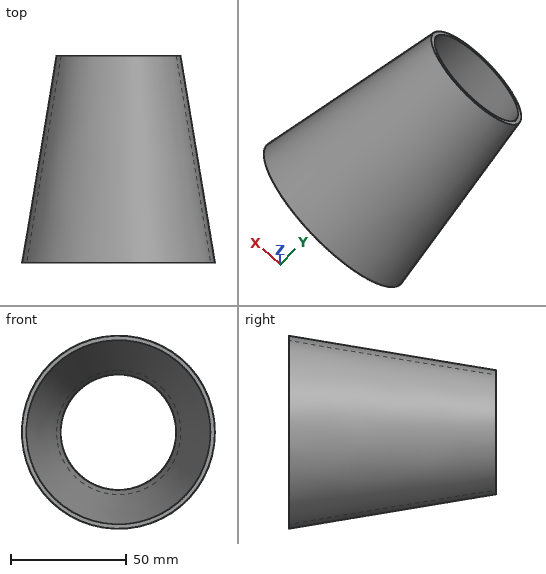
import cadquery as cq

length = 90.0
wide_diameter = 84.0
narrow_diameter = 54.0
wall = 2.0

wide_radius = wide_diameter / 2
narrow_radius = narrow_diameter / 2

wall_section = [
    (wide_radius - wall, 0),
    (wide_radius, 0),
    (narrow_radius, length),
    (narrow_radius - wall, length),
]

result = (
    cq.Workplane("XY")
    .polyline(wall_section)
    .close()
    .revolve(360, (0, 0, 0), (0, 1, 0))
)